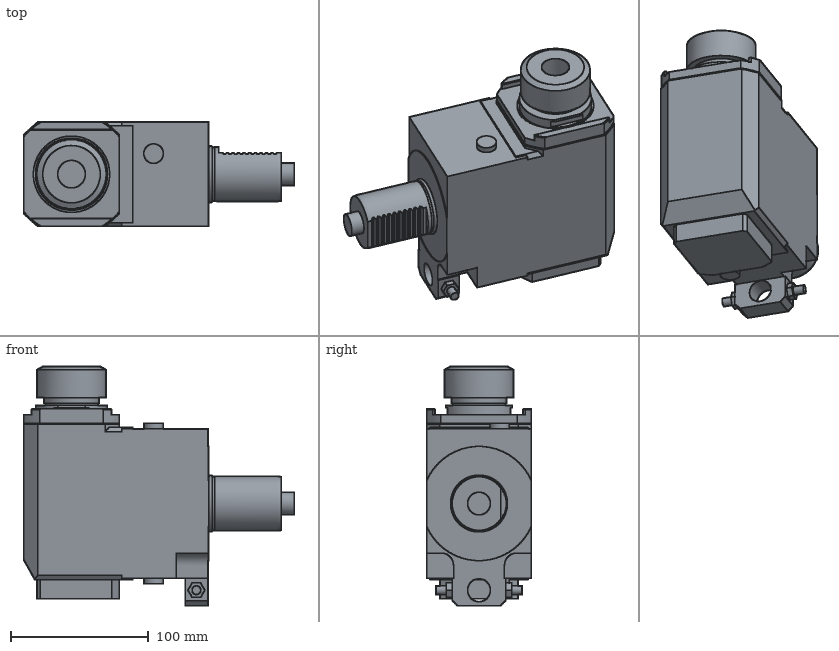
import cadquery as cq


head_half_length = 34.9
half_width = 38.0
shank_tip_x = 162.1
nut_top_z = 99.7

body_end_x = 99.3
body_half_height = 54.4
rib_half_height = 55.5
rib_end_x = 44.7
rib_half_width = 35.3
edge_bevel_height = 3.3
edge_bevel_end_x = 36.6
head_top_z = 57.7
corner_x = 10.5
corner_y = 9.5
nose_rise = 14.8
nose_run = 8.3

gap_height = 0.5
gap_inset = 0.4
plate_corner_radius = 44.5
plate_floor_z = 64.6
rail_top_z = 69.0
rail_half_length = 29.2
rail_width = 6.1
rail_edge_bevel = 0.5
recess_radius = 27.8
recess_depth = 1.0

flange_radius = 26.2
flange_top_z = 71.3
flange_lip = 1.8
flat_lower_y = 23.0
flat_upper_y = 24.2
neck_radius = 20.0
neck_groove_radius = 19.3
neck_groove_top_z = 72.9
nut_radius = 25.2
nut_bottom_z = 77.0
nut_bevel_radial = 4.3
nut_bevel_height = 2.4
bore_radius = 10.0
bore_depth = nut_top_z - nut_bottom_z

foot_start_x = -25.2
foot_bottom_z = -69.3
foot_half_width = 28.4
foot_front_bevel = 2.5
foot_rear_bevel_x = 5.5
foot_rear_bevel_y = 8.9

button_x = 59.7
button_y = 15.0
button_radius = 7.0
button_half_height = 58.5

pad_thickness = 0.5
pad_radius = 41.5
ring_radius = 20.7
ring_end_x = 102.5
shank_radius = 19.9
shank_neck_radius = 19.3
shank_start_x = 104.2
shank_end_x = 152.7
shank_bevel_length = 2.5
shank_bevel_radial = 0.4
tip_radius = 8.3

flat_start_x = 107.2
flat_y = 15.8
groove_count = 10
first_groove_x = 111.3
last_groove_x = 148.0
groove_depth = 1.2
groove_half_width = 1.8
groove_floor_half_width = 0.4

clamp_start_x = 82.5
clamp_half_width = 19.5
clamp_bottom_z = -74.5
clamp_bevel = 4.0
screw_x = 90.8
screw_z = -63.0
clamp_hole_radius = 8.3
hex_across_corners = 12.2
hex_end_y = 23.6
pin_radius = 3.2
pin_end_y = 31.3

pocket_start_x = 76.0
pocket_roof_z = -36.0
pocket_fillet = 8.9
pocket_back_y = -18.5


def box(x0, x1, half_y, z0, z1):
    """Box centred on Y = 0."""
    block = cq.Workplane("XY").box(x1 - x0, 2 * half_y, z1 - z0, centered=(False, True, False))
    return block.translate((x0, 0, z0))


def bevelled_prism(half_x, half_y, bevel_x, bevel_y, z0, z1):
    """Vertical prism around the spindle axis with its four corners cut off."""
    corners = []
    for sx, sy in ((1, 1), (-1, 1), (-1, -1), (1, -1)):
        on_side = (sx * half_x, sy * (half_y - bevel_y))
        on_end = (sx * (half_x - bevel_x), sy * half_y)
        corners += [on_side, on_end] if sx == sy else [on_end, on_side]
    return cq.Workplane("XY").workplane(offset=z0).polyline(corners).close().extrude(z1 - z0)


def x_cylinder(radius, x0, x1):
    return cq.Workplane("YZ").workplane(offset=x0).circle(radius).extrude(x1 - x0)


def z_cylinder(radius, z0, z1, x=0, y=0):
    return cq.Workplane("XY").workplane(offset=z0).center(x, y).circle(radius).extrude(z1 - z0)


def y_bar(profile, half_length):
    """Extrude a profile drawn in XZ equally to both sides of Y = 0."""
    return profile.extrude(half_length, both=True)


def make_housing():
    rear = box(0, body_end_x, half_width, -body_half_height, body_half_height)
    rib = box(0, rib_end_x, rib_half_width, -rib_half_height, rib_half_height)
    edge_strip = box(0, edge_bevel_end_x, half_width, -rib_half_height, rib_half_height)
    housing = rear.union(rib).union(edge_strip)

    head = bevelled_prism(head_half_length, half_width, corner_x, corner_y, -rib_half_height, head_top_z)
    nose = (
        cq.Workplane("XZ")
        .moveTo(-head_half_length, -rib_half_height)
        .lineTo(-head_half_length + nose_run, -rib_half_height)
        .lineTo(-head_half_length, -rib_half_height + nose_rise)
        .close()
    )
    head = head.cut(y_bar(nose, half_width))

    for side in (1, -1):
        for level in (1, -1):
            bevel = (
                cq.Workplane("YZ")
                .workplane(offset=-head_half_length)
                .moveTo(side * half_width, level * rib_half_height)
                .lineTo(side * rib_half_width, level * rib_half_height)
                .lineTo(side * half_width, level * (rib_half_height - edge_bevel_height))
                .close()
                .extrude(head_half_length + edge_bevel_end_x)
            )
            housing = housing.cut(bevel)
            if level < 0:
                head = head.cut(bevel)
    return housing.union(head)


def round_cornered_plate(inset, z0, z1):
    """Rectangular plate around the spindle axis with its corners turned to a radius."""
    half_length = head_half_length - inset
    plate = box(-half_length, half_length, half_width - inset, z0, z1)
    return plate.intersect(z_cylinder(plate_corner_radius - inset, z0, z1))


def make_cover_plate():
    plate_bottom_z = head_top_z + gap_height
    gap = round_cornered_plate(gap_inset, head_top_z, plate_bottom_z)
    plate = round_cornered_plate(0, plate_bottom_z, rail_top_z)
    channel = box(
        -head_half_length, head_half_length, half_width - rail_width, plate_floor_z, rail_top_z
    )
    plate = plate.cut(channel)
    rail_end = box(rail_half_length, head_half_length, half_width, plate_floor_z, rail_top_z)
    plate = plate.cut(rail_end).cut(rail_end.mirror("YZ"))
    inner_and_end_edges = cq.selectors.BoxSelector(
        (-head_half_length, -half_width + rail_edge_bevel, plate_floor_z + rail_edge_bevel),
        (head_half_length, half_width - rail_edge_bevel, rail_top_z + rail_edge_bevel),
    )
    plate = plate.faces(">Z").edges(inner_and_end_edges).chamfer(rail_edge_bevel)
    recess = z_cylinder(recess_radius, plate_floor_z - recess_depth, plate_floor_z)
    return gap.union(plate.cut(recess))


def make_spindle():
    flange_bottom_z = plate_floor_z - recess_depth
    lip_z = flange_top_z - flange_lip
    lower_flats = box(-flange_radius, flange_radius, flat_lower_y, plate_floor_z, lip_z)
    upper_flats = box(-flange_radius, flange_radius, flat_upper_y, lip_z, flange_top_z)
    flange = z_cylinder(flange_radius, plate_floor_z, flange_top_z)
    flange = flange.intersect(lower_flats.union(upper_flats))
    flange_base = z_cylinder(flange_radius, flange_bottom_z, plate_floor_z)

    turned = (
        cq.Workplane("XZ")
        .moveTo(0, flange_bottom_z)
        .lineTo(neck_groove_radius, flange_bottom_z)
        .lineTo(neck_groove_radius, neck_groove_top_z)
        .lineTo(neck_radius, neck_groove_top_z)
        .lineTo(neck_radius, nut_bottom_z)
        .lineTo(nut_radius, nut_bottom_z)
        .lineTo(nut_radius, nut_top_z - nut_bevel_height)
        .lineTo(nut_radius - nut_bevel_radial, nut_top_z)
        .lineTo(0, nut_top_z)
        .close()
        .revolve(360, (0, 0, 0), (0, 1, 0))
    )
    spindle = flange_base.union(flange).union(turned)
    return spindle.cut(z_cylinder(bore_radius, nut_top_z - bore_depth, nut_top_z))


def make_foot():
    foot = box(foot_start_x, head_half_length, foot_half_width, foot_bottom_z, -body_half_height)
    foot = foot.edges("|Z and <X").chamfer(foot_front_bevel)
    for side in (1, -1):
        corner = (
            cq.Workplane("XY")
            .workplane(offset=foot_bottom_z)
            .moveTo(head_half_length, side * foot_half_width)
            .lineTo(head_half_length - foot_rear_bevel_x, side * foot_half_width)
            .lineTo(head_half_length, side * (foot_half_width - foot_rear_bevel_y))
            .close()
            .extrude(-body_half_height - foot_bottom_z)
        )
        foot = foot.cut(corner)
    return foot


def make_shank():
    pad_end_x = body_end_x + pad_thickness
    pad = x_cylinder(pad_radius, body_end_x, pad_end_x)
    pad = pad.intersect(box(body_end_x, pad_end_x, half_width, -pad_radius, pad_radius))
    ring_bulge = (ring_end_x - pad_end_x) / 2
    shank = (
        cq.Workplane("XY")
        .moveTo(body_end_x, 0)
        .lineTo(body_end_x, ring_radius - ring_bulge)
        .lineTo(pad_end_x, ring_radius - ring_bulge)
        .threePointArc((pad_end_x + ring_bulge, ring_radius), (ring_end_x, ring_radius - ring_bulge))
        .lineTo(ring_end_x, shank_neck_radius)
        .lineTo(shank_start_x, shank_radius)
        .lineTo(shank_end_x - shank_bevel_length, shank_radius)
        .lineTo(shank_end_x, shank_radius - shank_bevel_radial)
        .lineTo(shank_end_x, tip_radius)
        .lineTo(shank_tip_x, tip_radius)
        .lineTo(shank_tip_x, 0)
        .close()
        .revolve(360, (0, 0, 0), (1, 0, 0))
    )

    cutter = cq.Workplane("XY").moveTo(flat_start_x, shank_radius).lineTo(flat_start_x, flat_y)
    pitch = (last_groove_x - first_groove_x) / (groove_count - 1)
    for i in range(groove_count):
        x = first_groove_x + i * pitch
        cutter = (
            cutter.lineTo(x - groove_half_width, flat_y)
            .lineTo(x - groove_floor_half_width, flat_y - groove_depth)
            .lineTo(x + groove_floor_half_width, flat_y - groove_depth)
            .lineTo(x + groove_half_width, flat_y)
        )
    cutter = cutter.lineTo(shank_end_x, flat_y).lineTo(shank_end_x, shank_radius).close()
    return pad.union(shank).cut(cutter.extrude(shank_radius, both=True))


def make_clamp():
    block = box(clamp_start_x, body_end_x, clamp_half_width, clamp_bottom_z, -body_half_height)
    block = block.edges("|X and <Z").chamfer(clamp_bevel)
    hole = x_cylinder(clamp_hole_radius, clamp_start_x, body_end_x).translate((0, 0, screw_z))
    screw_axis = cq.Workplane("XZ").center(screw_x, screw_z)
    hexes = y_bar(screw_axis.polygon(6, hex_across_corners), hex_end_y)
    pins = y_bar(screw_axis.circle(pin_radius), pin_end_y)
    return block.union(hexes).union(pins).cut(hole)


def make_pocket():
    """Pocket on the -Y side with a rounded edge between its roof and its back wall."""
    return (
        cq.Workplane("YZ")
        .workplane(offset=pocket_start_x)
        .moveTo(-half_width, -body_half_height)
        .lineTo(pocket_back_y, -body_half_height)
        .lineTo(pocket_back_y, pocket_roof_z - pocket_fillet)
        .radiusArc((pocket_back_y - pocket_fillet, pocket_roof_z), -pocket_fillet)
        .lineTo(-half_width, pocket_roof_z)
        .close()
        .extrude(body_end_x - pocket_start_x)
    )


pocket = make_pocket()
result = make_housing().cut(pocket).cut(pocket.mirror("XZ"))
for piece in (make_cover_plate(), make_spindle(), make_foot(), make_shank(), make_clamp()):
    result = result.union(piece)
result = result.union(
    z_cylinder(button_radius, -button_half_height, button_half_height, button_x, button_y)
)